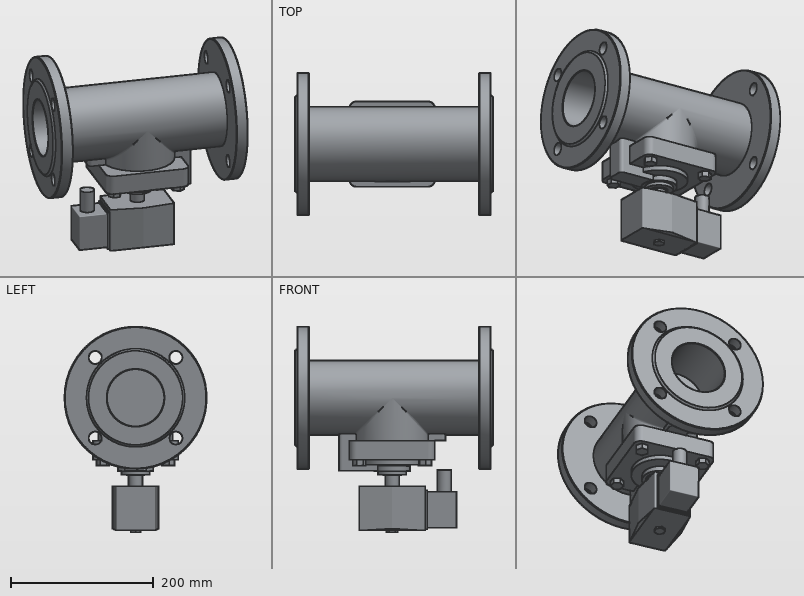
import cadquery as cq
import math

PIPE_DIAMETER = 105
BORE_DIAMETER = 80
BORE_DEPTH = 80
BORE_CHAMFER = 0.75
FACE_TO_FACE = 278

FLANGE_DIAMETER = 200
FLANGE_THICKNESS = 17
FLANGE_CHAMFER = 1
RAISED_FACE_DIAMETER = 138
RAISED_FACE_HEIGHT = 3
FLANGE_BOLT_CIRCLE = 160
FLANGE_HOLE_DIAMETER = 18
FLANGE_HOLES = 4

BRANCH_X = -2.5
BRANCH_DIAMETER = PIPE_DIAMETER
BRANCH_FILLET = 3
BLEND_SPAN = 98
SELECTION_MARGIN = 1
RIB_LENGTH = 150
RIB_THICKNESS = 30
RIB_FILLET = 5
RIB_TOP_Z = -48
RIB_BOTTOM_Z = -102.5

PLATE_SIDE = 120
PLATE_FILLET = 10
PLATE_TOP_Z = -60
BODY_PLATE_THICKNESS = 15
COVER_THICKNESS = 12
COVER_BOTTOM_Z = PLATE_TOP_Z - BODY_PLATE_THICKNESS - COVER_THICKNESS

BOLT_CIRCLE = 130
BOLT_HEAD_ACROSS_FLATS = 16
BOLT_HEAD_HEIGHT = 8
BOLT_HEAD_TURN = 7
FIRST_BOLT_ANGLE = 225
BOLT_COUNT = 4

COVER_BOSS = (80, COVER_BOTTOM_Z, -94)
STEM_COLLAR = (50, -95.5, -103)
STEM_GLAND = (40, COVER_BOTTOM_Z, -108)
GLAND_LIP = (25, COVER_BOTTOM_Z, -109)
SHAFT_DIAMETER = 20

HOUSING_TOP_Z = -124
HOUSING_BOTTOM_Z = -186
HOUSING_LENGTH = 93
HOUSING_END_WIDTH = 54
HOUSING_MID_WIDTH = 65
HOUSING_CORNER_FILLET = 1.5
HOUSING_CHAMFER_WIDTH = 5
HOUSING_CHAMFER_HEIGHT = 2.5
NUT_ACROSS_FLATS = 14
NUT_HEIGHT = 3

CONNECTOR_MID_Z = -157
GASKET_THICKNESS = 3
GASKET_WIDTH = 46
GASKET_HEIGHT = 55
CONNECTOR_LENGTH = 41
CONNECTOR_WIDTH = 44
CONNECTOR_HEIGHT = 51
CONNECTOR_FILLET = 1
CONDUIT_DIAMETER = 20
CONDUIT_X = 70.5
CONDUIT_TOP_Z = -101


def cylinder_z(diameter, top_z, bottom_z, x=BRANCH_X):
    """Vertical cylinder between two heights."""
    return cq.Workplane("XY", origin=(x, 0, bottom_z)).circle(diameter / 2).extrude(top_z - bottom_z)


def box_between(x_start, length, width, top_z, bottom_z):
    """Box centred on Y, running from x_start toward +X."""
    base = cq.Workplane("XY", origin=(x_start + length / 2, 0, bottom_z))
    return base.rect(length, width).extrude(top_z - bottom_z)


def hexagon_z(across_flats, top_z, height, x, y, turn):
    """Hexagonal prism hanging from top_z, with a corner turned away from +X by turn degrees."""
    corner_diameter = across_flats / math.cos(math.pi / 6)
    base = cq.Workplane("XY").polygon(6, corner_diameter).extrude(-height)
    return base.rotate((0, 0, 0), (0, 0, 1), turn).translate((x, y, top_z))


def make_tee():
    """Pipe and branch of equal diameter, blended along their meeting line.

    The meeting line flattens out at both sides of the pipe, so the blend stops just short of them.
    """
    half_pipe_length = FACE_TO_FACE / 2 - RAISED_FACE_HEIGHT - FLANGE_THICKNESS
    pipe = cq.Workplane("YZ").circle(PIPE_DIAMETER / 2).extrude(half_pipe_length, both=True)
    tee = pipe.union(cylinder_z(BRANCH_DIAMETER, 0, PLATE_TOP_Z))
    blend_zone = cq.Workplane("XY").box(FACE_TO_FACE, BLEND_SPAN, FLANGE_DIAMETER)
    inside_y = BLEND_SPAN / 2 - SELECTION_MARGIN
    half_branch = BRANCH_DIAMETER / 2
    meeting_lines = cq.selectors.BoxSelector(
        (BRANCH_X - half_branch, -inside_y, PLATE_TOP_Z + SELECTION_MARGIN),
        (BRANCH_X + half_branch, inside_y, -SELECTION_MARGIN),
    )
    blended_middle = tee.intersect(blend_zone).edges(meeting_lines).fillet(BRANCH_FILLET)
    return tee.union(blended_middle)


def make_flange():
    """Flange at the -X end, with its raised face and bolt holes."""
    seat_x = RAISED_FACE_HEIGHT - FACE_TO_FACE / 2
    seat = cq.Workplane("YZ", origin=(seat_x, 0, 0))
    disc = seat.circle(FLANGE_DIAMETER / 2).extrude(FLANGE_THICKNESS).edges().chamfer(FLANGE_CHAMFER)
    raised_face = seat.circle(RAISED_FACE_DIAMETER / 2).extrude(-RAISED_FACE_HEIGHT, taper=45)
    holes = (
        seat.polarArray(FLANGE_BOLT_CIRCLE / 2, 180 / FLANGE_HOLES, 360, FLANGE_HOLES)
        .circle(FLANGE_HOLE_DIAMETER / 2)
        .extrude(FLANGE_THICKNESS)
    )
    return disc.union(raised_face).cut(holes)


def make_bore():
    """Blind bore entering from the -X end, with a chamfered mouth."""
    mouth = cq.Workplane("YZ", origin=(-FACE_TO_FACE / 2, 0, 0))
    bore = mouth.circle(BORE_DIAMETER / 2).extrude(BORE_DEPTH)
    flare = mouth.circle(BORE_DIAMETER / 2 + BORE_CHAMFER).extrude(BORE_CHAMFER, taper=45)
    return bore.union(flare)


def make_rib():
    """Rib under the pipe: short on the +X side, reaching below the cover on the -X side."""
    rib_start = BRANCH_X - RIB_LENGTH / 2
    upper = box_between(rib_start, RIB_LENGTH, RIB_THICKNESS, RIB_TOP_Z, PLATE_TOP_Z)
    lower = box_between(rib_start, RIB_LENGTH / 2, RIB_THICKNESS, PLATE_TOP_Z, RIB_BOTTOM_Z)
    return upper.edges("|Z").fillet(RIB_FILLET).union(lower.edges("|Z and <X").fillet(RIB_FILLET))


def make_plate(top_z, thickness):
    """Square plate with rounded corners, centred on the branch."""
    base = cq.Workplane("XY", origin=(BRANCH_X, 0, top_z))
    return base.rect(PLATE_SIDE, PLATE_SIDE).extrude(-thickness).edges("|Z").fillet(PLATE_FILLET)


def make_cover_bolts():
    """Hexagonal bolt heads at the cover corners, each turned along with its corner."""
    bolts = cq.Workplane("XY")
    for number in range(BOLT_COUNT):
        quarter_turn = number * 360 / BOLT_COUNT
        angle = math.radians(FIRST_BOLT_ANGLE + quarter_turn)
        x = BRANCH_X + BOLT_CIRCLE / 2 * math.cos(angle)
        y = BOLT_CIRCLE / 2 * math.sin(angle)
        turn = BOLT_HEAD_TURN + quarter_turn
        bolts = bolts.add(hexagon_z(BOLT_HEAD_ACROSS_FLATS, COVER_BOTTOM_Z, BOLT_HEAD_HEIGHT, x, y, turn))
    return bolts.combine()


def make_stem():
    """Shaft from the cover down to the housing, with the discs stacked around it."""
    stem = cylinder_z(SHAFT_DIAMETER, COVER_BOTTOM_Z, HOUSING_TOP_Z)
    for diameter, top_z, bottom_z in (COVER_BOSS, STEM_COLLAR, STEM_GLAND, GLAND_LIP):
        stem = stem.union(cylinder_z(diameter, top_z, bottom_z))
    return stem


def make_housing():
    """Housing that is widest at mid length, with its lower long edges bevelled, and a nut below."""
    half_length = HOUSING_LENGTH / 2
    half_end = HOUSING_END_WIDTH / 2
    half_mid = HOUSING_MID_WIDTH / 2
    plan = [
        (-half_length, -half_end),
        (0, -half_mid),
        (half_length, -half_end),
        (half_length, half_end),
        (0, half_mid),
        (-half_length, half_end),
    ]
    base = cq.Workplane("XY", origin=(BRANCH_X, 0, HOUSING_BOTTOM_Z))
    body = base.polyline(plan).close().extrude(HOUSING_TOP_Z - HOUSING_BOTTOM_Z)
    body = body.edges("|Z and (<X or >X)").fillet(HOUSING_CORNER_FILLET)
    section = (
        cq.Workplane("YZ", origin=(BRANCH_X - half_length, 0, 0))
        .moveTo(-half_mid, HOUSING_TOP_Z)
        .lineTo(-half_mid, HOUSING_BOTTOM_Z + HOUSING_CHAMFER_HEIGHT)
        .lineTo(HOUSING_CHAMFER_WIDTH - half_mid, HOUSING_BOTTOM_Z)
        .lineTo(half_mid - HOUSING_CHAMFER_WIDTH, HOUSING_BOTTOM_Z)
        .lineTo(half_mid, HOUSING_BOTTOM_Z + HOUSING_CHAMFER_HEIGHT)
        .lineTo(half_mid, HOUSING_TOP_Z)
        .close()
        .extrude(HOUSING_LENGTH)
    )
    nut = hexagon_z(NUT_ACROSS_FLATS, HOUSING_BOTTOM_Z, NUT_HEIGHT, BRANCH_X, 0, 0)
    return body.intersect(section).union(nut)


def make_connector():
    """Gasket, plug box and upright conduit at the +X end of the housing."""
    gasket_x = BRANCH_X + HOUSING_LENGTH / 2
    plug_x = gasket_x + GASKET_THICKNESS
    gasket_top = CONNECTOR_MID_Z + GASKET_HEIGHT / 2
    gasket = box_between(gasket_x, GASKET_THICKNESS, GASKET_WIDTH, gasket_top, gasket_top - GASKET_HEIGHT)
    plug_top = CONNECTOR_MID_Z + CONNECTOR_HEIGHT / 2
    plug = box_between(plug_x, CONNECTOR_LENGTH, CONNECTOR_WIDTH, plug_top, plug_top - CONNECTOR_HEIGHT)
    plug = plug.edges("not <X").fillet(CONNECTOR_FILLET)
    conduit = cylinder_z(CONDUIT_DIAMETER, CONDUIT_TOP_Z, CONNECTOR_MID_Z, CONDUIT_X)
    return gasket.union(plug).union(conduit)


flange = make_flange()
bore = make_bore()

result = (
    make_tee()
    .union(make_rib())
    .union(make_plate(PLATE_TOP_Z, BODY_PLATE_THICKNESS))
    .union(make_plate(PLATE_TOP_Z - BODY_PLATE_THICKNESS, COVER_THICKNESS))
    .union(make_cover_bolts())
    .union(make_stem())
    .union(make_housing())
    .union(make_connector())
    .union(flange)
    .union(flange.mirror("YZ"))
    .cut(bore)
    .cut(bore.mirror("YZ"))
)